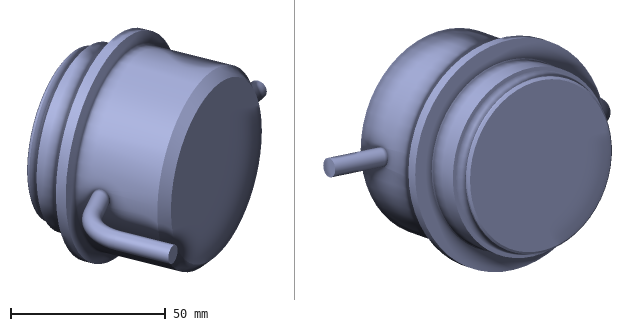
import cadquery as cq
import math

tube_end_x = 68.8
pin_end_y = 55.7
tube_outer_y = pin_end_y - 116.4

nose_face_radius = 57.3 / 2
lip_radius = 58.8 / 2
lip_chamfer_end_x = 0.6
lip_end_x = 1.3
groove_radius = 28.4
groove_start_x = 2.7
groove_flank_x = 3.0
groove_top_radius = 30.4
shoulder_x = 5.1
shoulder_radius = 63.4 / 2

flange_x = 16.0
foot_size = 0.3
flange_radius = 77.5 / 2
flange_back_x = 19.5
cone_end_x = 20.8
cone_end_radius = 34.9

body_x = 21.6
body_radius = 68.8 / 2
body_end_x = 54.0
body_chamfer = 3.3

tube_radius = 6.4 / 2
pin_x = 39.5
bend_end_x = 49.0
bend_radius = 16.5
bend_angle = math.radians(75)
embedded_length = 23.3


def make_body():
    """Revolve the half profile, drawn as (x, radius), about the X axis."""
    profile = (
        cq.Workplane("XY")
        .lineTo(0, nose_face_radius)
        .lineTo(lip_chamfer_end_x, lip_radius)
        .lineTo(lip_end_x, lip_radius)
        .lineTo(groove_start_x, groove_radius)
        .lineTo(groove_flank_x, groove_radius)
        .tangentArcPoint((shoulder_x, groove_top_radius), relative=False)
        .lineTo(shoulder_x, shoulder_radius)
        .lineTo(flange_x - foot_size, shoulder_radius)
        .lineTo(flange_x, shoulder_radius + foot_size)
        .lineTo(flange_x, flange_radius)
        .lineTo(flange_back_x, flange_radius)
        .lineTo(cone_end_x, cone_end_radius)
        .tangentArcPoint((body_x, body_radius), relative=False)
        .lineTo(body_end_x - body_chamfer, body_radius)
        .lineTo(body_end_x, body_radius - body_chamfer)
        .lineTo(body_end_x, 0)
        .close()
    )
    return profile.revolve(360, (0, 0, 0), (1, 0, 0))


def make_pin():
    """Round pin from the body axis out to +Y."""
    plane = cq.Plane(origin=(pin_x, 0, 0), xDir=(1, 0, 0), normal=(0, 1, 0))
    return cq.Workplane(plane).circle(tube_radius).extrude(pin_end_y)


def make_bent_tube():
    """Sweep a round section along the straight leg, the bend and the sloping leg."""
    leg_y = tube_outer_y + tube_radius
    center_y = leg_y + bend_radius

    def bend_point(angle):
        x = bend_end_x - bend_radius * math.sin(angle)
        y = center_y - bend_radius * math.cos(angle)
        return x, y

    bend_start = bend_point(bend_angle)
    inner_end = (
        bend_start[0] - embedded_length * math.cos(bend_angle),
        bend_start[1] + embedded_length * math.sin(bend_angle),
    )
    path = (
        cq.Workplane("XY")
        .moveTo(tube_end_x, leg_y)
        .lineTo(bend_end_x, leg_y)
        .threePointArc(bend_point(bend_angle / 2), bend_start)
        .lineTo(*inner_end)
    )
    section = cq.Workplane("YZ", origin=(tube_end_x, leg_y, 0)).circle(tube_radius)
    return section.sweep(path)


result = make_body().union(make_pin()).union(make_bent_tube())